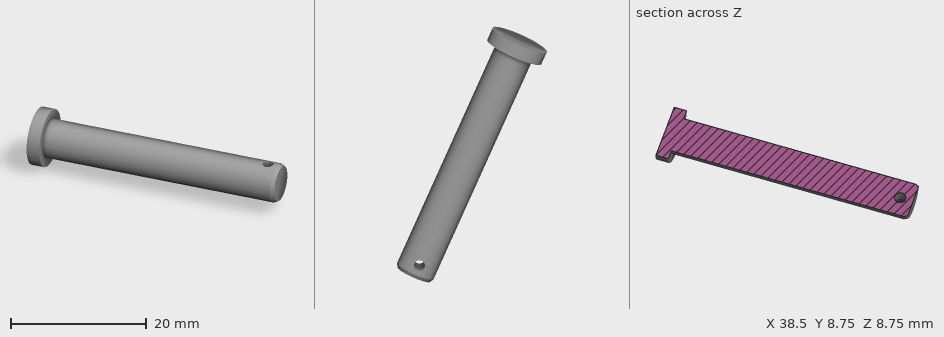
import cadquery as cq

total_length = 38.5
head_diameter = 8.75
head_thickness = 2.0
shank_diameter = 5.9
tip_chamfer_length = 0.58
tip_chamfer_depth = 0.3
hole_diameter = 1.6
hole_to_tip = 2.05

shank_radius = shank_diameter / 2
head_radius = head_diameter / 2

pin = (
    cq.Workplane("XY")
    .lineTo(0, head_radius)
    .lineTo(head_thickness, head_radius)
    .lineTo(head_thickness, shank_radius)
    .lineTo(total_length - tip_chamfer_length, shank_radius)
    .lineTo(total_length, shank_radius - tip_chamfer_depth)
    .lineTo(total_length, 0)
    .close()
    .revolve(360, (0, 0, 0), (1, 0, 0))
)

cotter_hole = (
    cq.Workplane("XY")
    .center(total_length - hole_to_tip, 0)
    .circle(hole_diameter / 2)
    .extrude(shank_radius, both=True)
)

result = pin.cut(cotter_hole)